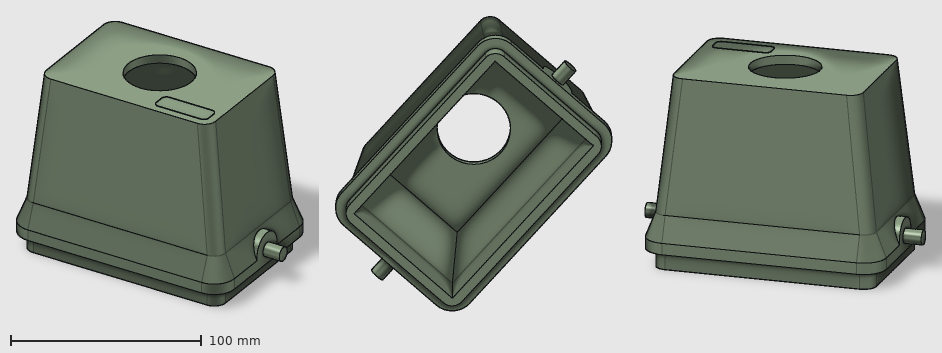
import cadquery as cq

BASE_LENGTH = 121.0
BASE_WIDTH = 79.0
TOP_LENGTH = 104.2
TOP_WIDTH = 71.3
BODY_CORNER_RADIUS = 7.0
HOOD_START_Z = 30.0
HEIGHT = 105.0

FLANGE_LENGTH = 132.0
FLANGE_WIDTH = 90.0
FLANGE_OVERHANG = (FLANGE_LENGTH - BASE_LENGTH) / 2
FLANGE_CORNER_RADIUS = BODY_CORNER_RADIUS + FLANGE_OVERHANG
FLANGE_BOTTOM_Z = 10.0
SHOULDER_START_Z = 16.3

PIN_DIAMETER = 8.0
PIN_LENGTH = 10.0
PIN_Z = 18.4
BOSS_DIAMETER = 20.0

WALL = 5.0
ENTRY_DIAMETER = 38.38

PANEL_LENGTH = 32.2
PANEL_WIDTH = 11.1
PANEL_CORNER_RADIUS = 3.0
PANEL_X = 31.0
PANEL_Y = -25.0
PANEL_DEPTH = 0.3


def section(length, width, radius):
    """Centred rectangle with rounded corners, or sharp ones when the radius is zero."""
    sketch = cq.Sketch().rect(length, width)
    if radius > 0:
        sketch = sketch.vertices().fillet(radius)
    return sketch


def straight_block(length, width, radius, bottom_z, top_z):
    """Prism between two heights."""
    plane = cq.Workplane("XY").workplane(offset=bottom_z)
    return plane.placeSketch(section(length, width, radius)).extrude(top_z - bottom_z)


def tapered_block(bottom_section, bottom_z, top_section, top_z):
    """Ruled solid between two rectangular sections at different heights."""
    lower = bottom_section.moved(cq.Location(cq.Vector(0, 0, bottom_z)))
    upper = top_section.moved(cq.Location(cq.Vector(0, 0, top_z)))
    return cq.Workplane("XY").placeSketch(lower, upper).loft(ruled=True)


def make_outer_body():
    base = straight_block(BASE_LENGTH, BASE_WIDTH, BODY_CORNER_RADIUS, 0, HOOD_START_Z)
    hood = tapered_block(
        section(BASE_LENGTH, BASE_WIDTH, BODY_CORNER_RADIUS),
        HOOD_START_Z,
        section(TOP_LENGTH, TOP_WIDTH, BODY_CORNER_RADIUS),
        HEIGHT,
    )
    band = straight_block(
        FLANGE_LENGTH, FLANGE_WIDTH, FLANGE_CORNER_RADIUS, FLANGE_BOTTOM_Z, SHOULDER_START_Z
    )
    shoulder = tapered_block(
        section(FLANGE_LENGTH, FLANGE_WIDTH, FLANGE_CORNER_RADIUS),
        SHOULDER_START_Z,
        section(BASE_LENGTH, BASE_WIDTH, BODY_CORNER_RADIUS),
        HOOD_START_Z,
    )
    return base.union(hood).union(band).union(shoulder)


def make_pin_bosses():
    """Round-topped bosses flush with the flange ends, with straight sides down into the flange."""
    boss = cq.Workplane("YZ").center(0, PIN_Z).circle(BOSS_DIAMETER / 2)
    boss = boss.extrude(FLANGE_LENGTH / 2, both=True)
    sides = straight_block(FLANGE_LENGTH, BOSS_DIAMETER, 0, FLANGE_BOTTOM_Z, PIN_Z)
    above_flange_bottom = straight_block(
        FLANGE_LENGTH, BOSS_DIAMETER, 0, FLANGE_BOTTOM_Z, HOOD_START_Z
    )
    return boss.union(sides).intersect(above_flange_bottom)


def make_pins():
    pin = cq.Workplane("YZ").center(0, PIN_Z).circle(PIN_DIAMETER / 2)
    return pin.extrude(FLANGE_LENGTH / 2 + PIN_LENGTH, both=True)


def make_cavity():
    """Sharp-cornered hollow that follows the outside at one wall thickness, open at the bottom."""
    length = BASE_LENGTH - 2 * WALL
    width = BASE_WIDTH - 2 * WALL
    roof_z = HEIGHT - WALL
    rise = (roof_z - HOOD_START_Z) / (HEIGHT - HOOD_START_Z)
    roof_length = length - (BASE_LENGTH - TOP_LENGTH) * rise
    roof_width = width - (BASE_WIDTH - TOP_WIDTH) * rise
    lower = straight_block(length, width, 0, 0, HOOD_START_Z)
    upper = tapered_block(
        section(length, width, 0), HOOD_START_Z, section(roof_length, roof_width, 0), roof_z
    )
    return lower.union(upper)


def make_cable_entry():
    plane = cq.Workplane("XY").workplane(offset=HEIGHT)
    return plane.circle(ENTRY_DIAMETER / 2).extrude(-2 * WALL)


def make_label_panel():
    panel = straight_block(
        PANEL_LENGTH, PANEL_WIDTH, PANEL_CORNER_RADIUS, HEIGHT - PANEL_DEPTH, HEIGHT
    )
    return panel.translate((PANEL_X, PANEL_Y, 0))


result = (
    make_outer_body()
    .union(make_pin_bosses())
    .union(make_pins())
    .cut(make_cavity())
    .cut(make_cable_entry())
    .cut(make_label_panel())
)